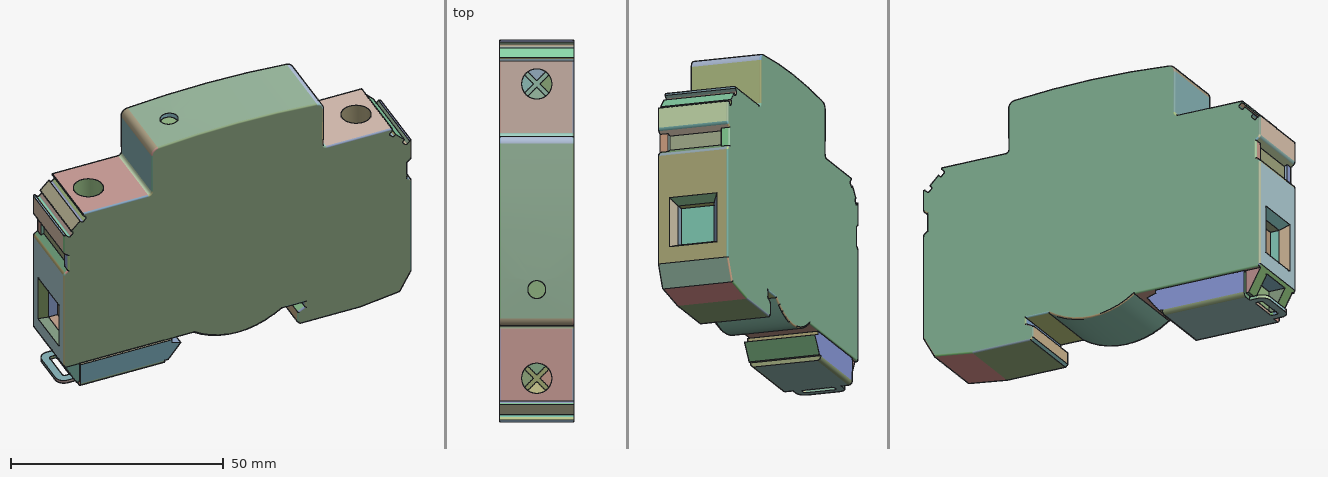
import cadquery as cq
import math

length = 89.8
width = 17.6
height = 64.8
half_length = length / 2
half_width = width / 2
side_round = 0.4

tower_top_half = 22.3
tower_foot_half = 22.2
dome_edge_z = 63.8
tower_corner_radius = 1.9
tower_foot_radius = 0.8

shoulder_z = 50.65
shoulder_chamfer = 4.9

strip_inset = 0.7
groove_depth = 1.6
groove_inner = 1.6
groove_outer = 3.1
groove_floor_radius = 0.4

recess_top_z = 40.3
recess_bottom_z = 34.3
recess_depth = 1.1
recess_slope = 0.8
recess_lip_radius = 0.9

label_half_outer = 6.65
label_half_inner = 6.4
label_depth = 0.6
label_slope = recess_slope * (recess_depth + label_depth) / recess_depth

rail_seat_z = 6.8
end_corner_z = 7.45
bevel_foot_y = 41.9
bevel_foot_z = 2.2
foot_z = 0.8
foot_slope_end_y = 31.7
hook_y = 15.5
hook_chamfer = 0.6
hook_lip_z = 4.4
hook_root_y = 17.4
hook_root_z = 5.4
belly_half = 11.4
belly_z = 3.2

screw_y = 34.6
screw_diameter = 7.1
screw_hole_depth = 7.2
screw_slot_width = 1.1
screw_slot_depth = 0.9

indicator_y = -13.7
indicator_diameter = 4.2
indicator_floor_z = 63.3

entry_half_outer = 5.9
entry_bottom_outer = 11.4
entry_top_outer = 23.4
entry_half_inner = 4.5
entry_bottom_inner = 12.2
entry_top_inner = 21.8
entry_bevel_depth = 2.1
entry_depth = 4.4

clip_end_y = -40.6
clip_top_z = 6.6
clip_nose_y = -14.7
clip_nose_z = 5.0
clip_neck_y = -17.0
clip_neck_z = 5.75
clip_shoe_z = 1.1
clip_shoe_start_y = -18.9
clip_toe_y = -18.0
clip_bottom_round = 1.0
wedge_half_width = 8.0
channel_half_width = 4.5
channel_floor_y = -40.1

tab_thickness = 0.8
tab_half_width = 6.0
tab_corner_radius = 2.25
tab_rim = 2.0
tab_slot_depth = 2.0
tab_slot_radius = 0.5

overlap = 0.9

end_bevel_slope = (half_length - bevel_foot_y) / (end_corner_z - bevel_foot_z)


def end_bevel_y(z):
    """Distance from the middle to the sloped lower end at height z."""
    return half_length - end_bevel_slope * (end_corner_z - z)


def recess_points(side):
    """Outline of the label recess on one end, from top to bottom."""
    floor_y = side * (half_length - recess_depth)
    return [
        (side * half_length, recess_top_z),
        (floor_y, recess_top_z - recess_slope),
        (floor_y, recess_bottom_z + recess_slope),
        (side * half_length, recess_bottom_z),
    ]


def make_housing():
    """Side outline extruded across the width, with rounded side edges."""
    shoulder_end = half_length - shoulder_chamfer
    chamfer_foot_z = shoulder_z - shoulder_chamfer
    outline = (
        cq.Workplane("YZ")
        .moveTo(-tower_top_half, dome_edge_z)
        .threePointArc((0, height), (tower_top_half, dome_edge_z))
        .lineTo(tower_foot_half, shoulder_z)
        .lineTo(shoulder_end, shoulder_z)
        .lineTo(half_length, chamfer_foot_z)
    )
    for y, z in recess_points(1):
        outline = outline.lineTo(y, z)
    outline = (
        outline.lineTo(half_length, end_corner_z)
        .lineTo(bevel_foot_y, bevel_foot_z)
        .lineTo(foot_slope_end_y, foot_z)
        .lineTo(hook_y + hook_chamfer, foot_z)
        .lineTo(hook_y, foot_z + hook_chamfer)
        .lineTo(hook_y, hook_lip_z)
        .lineTo(hook_root_y, hook_root_z)
        .lineTo(hook_root_y, rail_seat_z)
        .lineTo(belly_half, rail_seat_z)
        .threePointArc((0, belly_z), (-belly_half, rail_seat_z))
        .lineTo(-end_bevel_y(rail_seat_z), rail_seat_z)
        .lineTo(-half_length, end_corner_z)
    )
    for y, z in reversed(recess_points(-1)):
        outline = outline.lineTo(y, z)
    block = (
        outline.lineTo(-half_length, chamfer_foot_z)
        .lineTo(-shoulder_end, shoulder_z)
        .lineTo(-tower_foot_half, shoulder_z)
        .close()
        .extrude(half_width, both=True)
    )
    for side in (-1, 1):
        top_edge = cq.selectors.NearestToPointSelector((0, side * tower_top_half, dome_edge_z))
        block = block.edges("|X").edges(top_edge).fillet(tower_corner_radius)
        foot_edge = cq.selectors.NearestToPointSelector((0, side * tower_foot_half, shoulder_z))
        block = block.edges("|X").edges(foot_edge).fillet(tower_foot_radius)
        for lip_z in (recess_top_z, recess_bottom_z):
            lip_edge = cq.selectors.NearestToPointSelector((0, side * half_length, lip_z))
            block = block.edges("|X").edges(lip_edge).fillet(recess_lip_radius)
    return block.faces("<X or >X").edges().fillet(side_round)


def make_grooved_strip(side):
    """Cutter for the sunken strip and its two grooves, leaving square lips at both ends."""
    middle_y = half_length - shoulder_chamfer / 2
    middle_z = shoulder_z - shoulder_chamfer / 2
    lip_depth = shoulder_chamfer / math.sqrt(2) - groove_outer
    strip_profile = [
        (-groove_outer - lip_depth - overlap, overlap),
        (-groove_outer, -lip_depth),
        (-groove_outer, -groove_depth),
        (-groove_inner, -groove_depth),
        (-groove_inner, -strip_inset),
        (groove_inner, -strip_inset),
        (groove_inner, -groove_depth),
        (groove_outer, -groove_depth),
        (groove_outer, -lip_depth),
        (groove_outer + lip_depth + overlap, overlap),
    ]
    return (
        cq.Workplane("YZ")
        .polyline(strip_profile)
        .close()
        .extrude(half_width, both=True)
        .faces("<Z")
        .edges("|X")
        .fillet(groove_floor_radius)
        .rotate((0, 0, 0), (1, 0, 0), -45 * side)
        .translate((0, side * middle_y, middle_z))
    )


def make_funnel(start_y, depth, outer, inner):
    """Tapered pocket running in from the -Y end; outer and inner are (half width, bottom, top)."""
    outer_half, outer_bottom, outer_top = outer
    inner_half, inner_bottom, inner_top = inner
    outer_middle = (outer_top + outer_bottom) / 2
    inner_middle = (inner_top + inner_bottom) / 2
    return (
        cq.Workplane("XZ", origin=(0, start_y, outer_middle))
        .rect(2 * outer_half, outer_top - outer_bottom)
        .workplane(offset=-depth)
        .center(0, inner_middle - outer_middle)
        .rect(2 * inner_half, inner_top - inner_bottom)
        .loft(ruled=True)
    )


def make_label_pocket():
    """Label pocket sunk from the recess floor of the -Y end."""
    mouth = (label_half_outer, recess_bottom_z + recess_slope, recess_top_z - recess_slope)
    floor = (label_half_inner, recess_bottom_z + label_slope, recess_top_z - label_slope)
    return make_funnel(-half_length + recess_depth, label_depth, mouth, floor)


def make_wire_entry():
    """Wire entry of the -Y end: a bevelled mouth leading into a straight shaft."""
    mouth = (entry_half_outer, entry_bottom_outer, entry_top_outer)
    throat = (entry_half_inner, entry_bottom_inner, entry_top_inner)
    bevel = make_funnel(-half_length, entry_bevel_depth, mouth, throat)
    shaft_start = -half_length + entry_bevel_depth
    shaft = make_funnel(shaft_start, entry_depth - entry_bevel_depth, throat, throat)
    return bevel.union(shaft)


def make_screw_hole(side):
    """Access hole with a cross-slotted screw head at its floor."""
    floor_z = shoulder_z - screw_hole_depth
    hole = (
        cq.Workplane("XY", origin=(0, side * screw_y, floor_z))
        .circle(screw_diameter / 2)
        .extrude(screw_hole_depth + overlap)
    )
    slot_base = cq.Workplane("XY", origin=(0, side * screw_y, floor_z - screw_slot_depth))
    head = slot_base.circle(screw_diameter / 2).extrude(screw_slot_depth)
    for angle in (-45, 45):
        slot = (
            slot_base.transformed(rotate=(0, 0, angle))
            .rect(screw_diameter, screw_slot_width)
            .extrude(screw_slot_depth)
        )
        hole = hole.union(slot.intersect(head))
    return hole


def make_clip():
    """Rail clip: full-width slider and sloped wedge, with a channel above the pull tab."""
    slider_points = [
        (clip_neck_y, clip_top_z),
        (clip_neck_y, clip_neck_z),
        (clip_nose_y, clip_nose_z),
        (clip_toe_y, clip_shoe_z),
        (clip_end_y, clip_shoe_z),
        (clip_end_y, clip_top_z),
    ]
    slider = cq.Workplane("YZ").polyline(slider_points).close().extrude(half_width, both=True)

    shoe_length = clip_shoe_start_y - clip_end_y
    shoe = (
        cq.Workplane("XY", origin=(0, (clip_shoe_start_y + clip_end_y) / 2, 0))
        .rect(width, shoe_length)
        .extrude(clip_shoe_z)
        .edges("|Y and <Z")
        .fillet(clip_bottom_round)
    )

    wedge_points = [
        (clip_shoe_start_y, rail_seat_z + side_round),
        (clip_shoe_start_y, clip_shoe_z),
        (-end_bevel_y(clip_shoe_z), clip_shoe_z),
        (-end_bevel_y(rail_seat_z), rail_seat_z),
        (-end_bevel_y(rail_seat_z), rail_seat_z + side_round),
    ]
    wedge = cq.Workplane("YZ").polyline(wedge_points).close().extrude(wedge_half_width, both=True)
    channel = (
        cq.Workplane("XY", origin=(0, (channel_floor_y - half_length) / 2, tab_thickness))
        .rect(2 * channel_half_width, half_length + channel_floor_y)
        .extrude(clip_top_z - tab_thickness)
    )
    return slider.union(shoe).union(wedge).cut(channel)


def make_pull_tab():
    """Flat slotted tab that sticks out of the clip at the -Y end."""
    tab_length = half_length + clip_end_y
    tab = (
        cq.Workplane("XY", origin=(0, (clip_end_y - half_length) / 2, 0))
        .rect(2 * tab_half_width, tab_length)
        .extrude(tab_thickness)
        .edges("|Z and <Y")
        .fillet(tab_corner_radius)
    )
    slot = (
        cq.Workplane("XY", origin=(0, -half_length + tab_rim + tab_slot_depth / 2, 0))
        .rect(2 * (tab_half_width - tab_rim), tab_slot_depth)
        .extrude(tab_thickness)
        .edges("|Z")
        .fillet(tab_slot_radius)
    )
    return tab.cut(slot)


result = make_housing()

for pocket in (make_label_pocket(), make_wire_entry()):
    result = result.cut(pocket).cut(pocket.mirror("XZ"))

for side in (-1, 1):
    result = result.cut(make_grooved_strip(side))
    result = result.cut(make_screw_hole(side))

indicator_hole = (
    cq.Workplane("XY", origin=(0, indicator_y, indicator_floor_z))
    .circle(indicator_diameter / 2)
    .extrude(height - indicator_floor_z)
)
result = result.cut(indicator_hole).union(make_clip()).union(make_pull_tab())